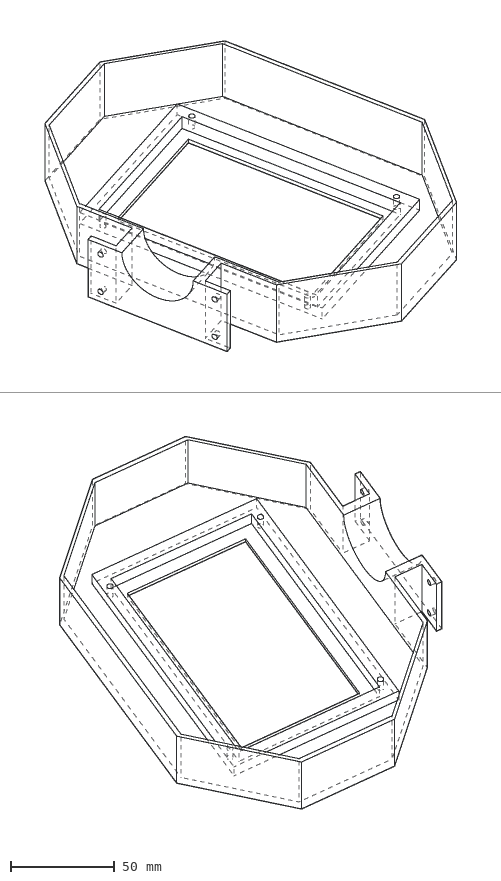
import cadquery as cq

length = 200.0
width = 140.0
height = 37.0
corner_cut = 44.0
wall = 2.5
floor = 3.0

frame_length = 136.0
frame_width = 92.0
frame_top = 10.0
frame_shift = -1.0
recess_length = 122.5
recess_width = 78.5
ledge = 2.5
window_length = 109.2
window_width = 66.0
frame_hole_spacing_x = 114.8
frame_hole_spacing_y = 84.0

bracket_reach = 18.0
neck_length = 50.0
flange_length = 78.0
flange_thickness = 3.0
pipe_diameter = 40.0
flange_hole_spacing_x = 64.0
flange_hole_spacing_z = 24.0
flange_hole_low_z = 6.5

screw_diameter = 3.0
front_wall_y = -width / 2
flange_face_y = front_wall_y - bracket_reach


def block(size_x, size_y, bottom, top, center_y=0):
    """Box centered on X, spanning bottom to top in Z."""
    return (
        cq.Workplane("XY", origin=(0, center_y, bottom))
        .rect(size_x, size_y)
        .extrude(top - bottom)
    )


def octagon(inset, bottom, top):
    """Octagonal prism with its straight sides inset but not shortened."""
    prism = block(length - 2 * inset, width - 2 * inset, bottom, top)
    return prism.edges("|Z").chamfer(corner_cut - inset)


def make_tray():
    return octagon(0, 0, height).cut(octagon(wall, floor, height))


def add_frame(body):
    body = body.union(block(frame_length, frame_width, 0, frame_top, frame_shift))
    body = body.cut(block(recess_length, recess_width, ledge, frame_top, frame_shift))
    body = body.cut(block(window_length, window_width, 0, frame_top))
    screw_holes = (
        cq.Workplane("XY", origin=(0, frame_shift, floor))
        .rarray(frame_hole_spacing_x, frame_hole_spacing_y, 2, 2)
        .circle(screw_diameter / 2)
        .extrude(frame_top - floor)
    )
    return body.cut(screw_holes)


def add_bracket(body):
    neck_center_y = front_wall_y - bracket_reach / 2
    flange_center_y = flange_face_y + flange_thickness / 2
    body = body.union(block(neck_length, bracket_reach, 0, height, neck_center_y))
    body = body.union(block(flange_length, flange_thickness, 0, height, flange_center_y))

    pipe = (
        cq.Workplane("XZ", origin=(0, flange_face_y, height))
        .circle(pipe_diameter / 2)
        .extrude(-(bracket_reach + wall))
    )
    hole_center_z = flange_hole_low_z + flange_hole_spacing_z / 2
    screw_holes = (
        cq.Workplane("XZ", origin=(0, flange_face_y, hole_center_z))
        .rarray(flange_hole_spacing_x, flange_hole_spacing_z, 2, 2)
        .circle(screw_diameter / 2)
        .extrude(-flange_thickness)
    )
    return body.cut(pipe).cut(screw_holes)


result = add_bracket(add_frame(make_tray()))